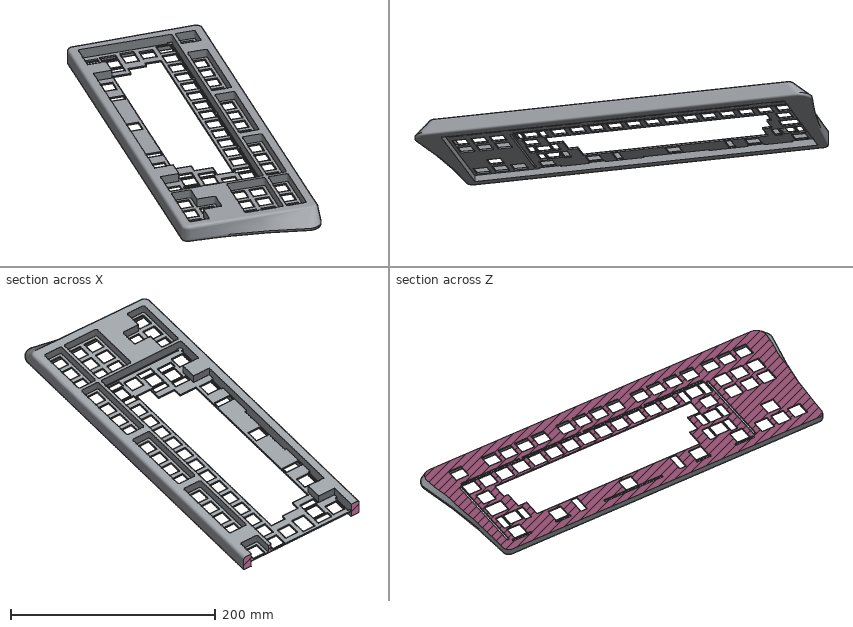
import cadquery as cq
import math


overall_length = 403.0
overall_depth = 140.0
overall_height = 17.0

four_key_width = 76.0
pitch = four_key_width / 4
key_hole = 14.0

columns = 18.25
rows = 6.25
field_length = columns * pitch
field_depth = rows * pitch
border = (overall_depth - field_depth) / 2

half_length = overall_length / 2
half_depth = overall_depth / 2
half_body = field_length / 2 + border
corner_radius = 7.0
wing_radius = 13.0
wing_flank_angle = math.radians(15)
wing_flank_sag = 3.0
skirt_height = 3.2
top_fillet = 3.2
bottom_fillet = 2.0

pocket_clearance = 0.6
pocket_corner = 1.5
plate_top = 8.0
plate_thickness = 1.5
plate_bottom = plate_top - plate_thickness
opening_inset = 1.2

stabilizer_width = 7.0
stabilizer_depth = 16.0
stabilizer_offset = 12.0
space_stabilizer_depth = 18.5
space_stabilizer_offset = 3 * pitch

flex_slot_width = 2.0
flex_bridge = 3.5
flex_bridge_keys = [3.8, 7.5, 11.2]
flex_corner = 4.5
front_flex_slots = [(0.75, 21.5), (3.25, 16.5), (7.5, 66.5), (11.75, 16.5), (14.25, 21.5)]

function_row = 0.5
number_row = 1.75
tab_row = 2.75
caps_row = 3.75
shift_row = 4.75
bottom_row = 5.75


def at_x(units):
    return units * pitch - field_length / 2


def at_y(units):
    return field_depth / 2 - units * pitch


def arc_point(center, radius, angle):
    return (center[0] + radius * math.cos(angle), center[1] + radius * math.sin(angle))


def mirrored(point):
    return (-point[0], point[1])


front_center = (half_body - corner_radius, corner_radius - half_depth)
front_start = (front_center[0], -half_depth)
front_middle = arc_point(front_center, corner_radius, -math.pi / 4)
front_end = (half_body, front_center[1])


def case_outline(height, rear_radius, rear_half_length, flank_angle, flank_sag):
    """Closed case outline at a height.

    The flanks run from the front corners to the rear corner arcs, which end
    flank_angle past their outermost point. Each flank is an arc that dips
    inward from its chord by flank_sag.
    """
    rear_center = (rear_half_length - rear_radius, half_depth - rear_radius)
    rear_start = arc_point(rear_center, rear_radius, -flank_angle)
    rear_middle = arc_point(rear_center, rear_radius, (math.pi / 2 - flank_angle) / 2)
    rear_end = (rear_center[0], half_depth)

    chord_x = rear_start[0] - front_end[0]
    chord_y = rear_start[1] - front_end[1]
    chord_middle = (front_end[0] + chord_x / 2, front_end[1] + chord_y / 2)
    inward = math.atan2(chord_y, chord_x) + math.pi / 2
    flank_middle = arc_point(chord_middle, flank_sag, inward)

    outline = cq.Workplane("XY").workplane(offset=height).moveTo(*mirrored(front_start))
    outline = outline.lineTo(*front_start).threePointArc(front_middle, front_end)
    if flank_sag:
        outline = outline.threePointArc(flank_middle, rear_start)
    else:
        outline = outline.lineTo(*rear_start)
    outline = outline.threePointArc(rear_middle, rear_end).lineTo(*mirrored(rear_end))
    outline = outline.threePointArc(mirrored(rear_middle), mirrored(rear_start))
    if flank_sag:
        outline = outline.threePointArc(mirrored(flank_middle), mirrored(front_end))
    else:
        outline = outline.lineTo(*mirrored(front_end))
    return outline.threePointArc(mirrored(front_middle), mirrored(front_start)).close()


def winged_outline(height):
    return case_outline(height, wing_radius, half_length, wing_flank_angle, wing_flank_sag)


def plain_outline(height):
    return case_outline(height, corner_radius, half_body, 0, 0)


def make_body():
    skirt = winged_outline(0).extrude(skirt_height)
    skirt = skirt.faces("<Z").edges().fillet(bottom_fillet)
    base = winged_outline(skirt_height).val()
    rim = plain_outline(overall_height).val()
    slope = cq.Workplane(obj=cq.Solid.makeLoft([base, rim], True))
    slope = slope.faces(">Z").edges().fillet(top_fillet)
    return skirt.union(slope)


def block(limits, bottom, top, margin):
    """Box over (left, right, back, front) key-unit limits, grown by a margin."""
    left, right, back, front = limits
    length = (right - left) * pitch + 2 * margin
    depth = (front - back) * pitch + 2 * margin
    center = (at_x((left + right) / 2), at_y((back + front) / 2), bottom)
    return cq.Workplane("XY").box(length, depth, top - bottom, (True, True, False)).translate(center)


def pocket(limits):
    sharp = block(limits, plate_top, overall_height, pocket_clearance)
    return sharp.edges("|Z").fillet(pocket_corner)


def make_pockets():
    single_blocks = [
        (0, 1, 0, 1),
        (2, 6, 0, 1),
        (6.5, 10.5, 0, 1),
        (11, 15, 0, 1),
        (15.25, 18.25, 0, 1),
        (15.25, 18.25, 1.25, 3.25),
        (16.25, 17.25, 4.25, 6.25),
        (15.25, 18.25, 5.25, 6.25),
    ]
    pockets = pocket((0, 15, 1.25, 6.25))
    for limits in [(1.5, 2.5, 5.25, 6.5), (12.5, 13.5, 5.25, 6.5)]:
        pockets = pockets.cut(block(limits, plate_top, overall_height, -pocket_clearance))
    for limits in single_blocks:
        pockets = pockets.union(pocket(limits))
    return pockets


def make_cavity():
    return block((0, columns, 0, rows), 0, plate_bottom, pocket_clearance)


def make_letter_opening():
    stepped_rows = [
        (1.5, 13.5, 2.25, 3.25),
        (1.75, 12.75, 2.25, 4.25),
        (2.25, 12.25, 2.25, 5.25),
    ]
    opening = cq.Workplane("XY")
    for limits in stepped_rows:
        opening = opening.union(block(limits, 0, plate_top, -opening_inset))
    return opening


def plate_holes(points, length, depth):
    return cq.Workplane("XY").pushPoints(points).rect(length, depth).extrude(plate_top)


def make_switch_holes():
    navigation = [15.75, 16.75, 17.75]
    function_keys = [2.5, 3.5, 4.5, 5.5, 7, 8, 9, 10, 11.5, 12.5, 13.5, 14.5]
    key_centers = {
        function_row: [0.5] + function_keys + navigation,
        number_row: [key + 0.5 for key in range(13)] + [14] + navigation,
        tab_row: [0.75, 14.25] + navigation,
        caps_row: [13.875],
        shift_row: [1.125, 13.625, 16.75],
        bottom_row: [0.75, 3.25, 7.5, 11.75, 14.25] + navigation,
    }
    points = [(at_x(key), at_y(row)) for row, keys in key_centers.items() for key in keys]
    return plate_holes(points, key_hole, key_hole)


def make_caps_hole():
    """Wide hole that takes the caps switch in either of two positions."""
    return plate_holes([(at_x(0.75), at_y(caps_row))], key_hole + pitch / 4, key_hole)


def make_stabilizer_slots():
    """Slots beside the long keys, flush with the back or front edge of the key hole."""
    overhang = (stabilizer_depth - key_hole) / 2
    points = []
    for key, row, side in [
        (14, number_row, -1),
        (13.875, caps_row, 1),
        (1.125, shift_row, -1),
        (13.625, shift_row, -1),
    ]:
        for offset in (-stabilizer_offset, stabilizer_offset):
            points.append((at_x(key) + offset, at_y(row) + side * overhang))
    return plate_holes(points, stabilizer_width, stabilizer_depth)


def make_space_slots():
    y = at_y(bottom_row)
    space_x = at_x(7.5)
    points = [(space_x + offset, y) for offset in (-space_stabilizer_offset, space_stabilizer_offset)]
    return plate_holes(points, stabilizer_width, space_stabilizer_depth)


def make_flex_slots():
    """Narrow slots between the main plate and its pocket walls."""
    left = at_x(0) - pocket_clearance
    right = at_x(15) + pocket_clearance
    back = at_y(1.25) + pocket_clearance
    front = at_y(6.25) - pocket_clearance
    inset = flex_slot_width / 2

    side_length = back - front - 2 * flex_corner
    side_points = [(x, (back + front) / 2) for x in (left + inset, right - inset)]
    slots = plate_holes(side_points, flex_slot_width, side_length)

    bridges = [at_x(key) for key in flex_bridge_keys]
    starts = [left + flex_corner] + [x + flex_bridge / 2 for x in bridges]
    ends = [x - flex_bridge / 2 for x in bridges] + [right - flex_corner]
    spans = [(start, end, back - inset) for start, end in zip(starts, ends)]

    for key, length in front_flex_slots:
        spans.append((at_x(key) - length / 2, at_x(key) + length / 2, front + inset))

    for start, end, y in spans:
        slots = slots.union(plate_holes([((start + end) / 2, y)], end - start, flex_slot_width))
    return slots


result = make_body().cut(make_cavity()).cut(make_pockets())
for cutter in (
    make_letter_opening(),
    make_switch_holes(),
    make_caps_hole(),
    make_stabilizer_slots(),
    make_space_slots(),
    make_flex_slots(),
):
    result = result.cut(cutter)